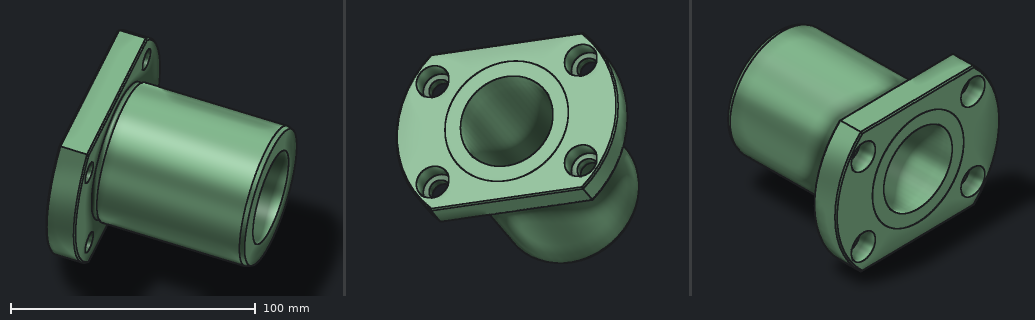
import cadquery as cq

flange_diameter = 96.0
flange_height = 70.0
flange_thickness = 13.0
flange_chamfer = 0.7

total_length = 80.0
sleeve_diameter = 60.0
end_taper_length = 2.0
end_taper_depth = 0.8
bore_diameter = 40.0

relief_length = 2.5
relief_flange_diameter = 59.1
relief_floor_diameter = 58.8

seal_diameter = 53.4
seal_recess_depth = 0.1

hole_spacing_y = 64.0
hole_spacing_z = 45.0
hole_diameter = 9.0
counterbore_diameter = 14.0
counterbore_depth = 8.6


def rod(diameter, length):
    """Solid cylinder along +X from the flange face, centred on the part axis."""
    return cq.Workplane("YZ").circle(diameter / 2).extrude(length)


def make_flange():
    """Disc trimmed to the flange height, chamfered around both faces."""
    disc = rod(flange_diameter, flange_thickness)
    trim = cq.Workplane("YZ").rect(flange_diameter, flange_height).extrude(flange_thickness)
    return disc.intersect(trim).faces("<X or >X").chamfer(flange_chamfer)


def make_sleeve():
    """Profile revolved about X: concave relief groove, body and tapered free end."""
    body_radius = sleeve_diameter / 2
    groove_end_radius = relief_flange_diameter / 2
    groove_floor_radius = relief_floor_diameter / 2
    body_start = flange_thickness + relief_length
    return (
        cq.Workplane("XY")
        .moveTo(flange_thickness, 0)
        .lineTo(flange_thickness, groove_end_radius)
        .threePointArc(
            (flange_thickness + relief_length / 2, groove_floor_radius),
            (body_start, body_radius),
        )
        .lineTo(total_length - end_taper_length, body_radius)
        .lineTo(total_length, body_radius - end_taper_depth)
        .lineTo(total_length, 0)
        .close()
        .revolve(360, (0, 0, 0), (1, 0, 0))
    )


def mounting_holes():
    """Four through holes with counterbores opening on the flange face."""
    centers = cq.Workplane("YZ").rect(hole_spacing_y, hole_spacing_z, forConstruction=True).vertices()
    holes = centers.circle(hole_diameter / 2).extrude(flange_thickness)
    counterbores = centers.circle(counterbore_diameter / 2).extrude(counterbore_depth)
    return holes.union(counterbores)


result = (
    make_flange()
    .union(make_sleeve())
    .cut(rod(bore_diameter, total_length))
    .cut(rod(seal_diameter, seal_recess_depth))
    .cut(mounting_holes())
)